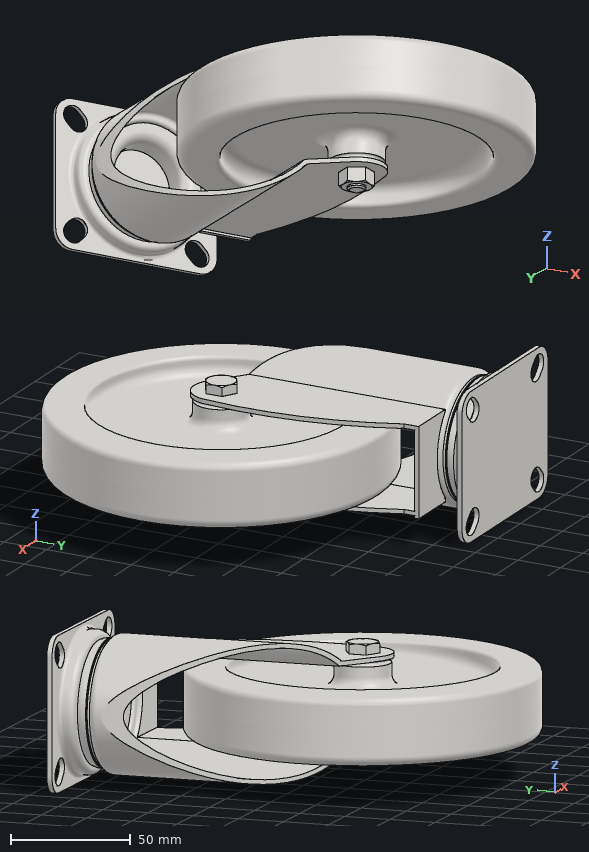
import cadquery as cq
import math


WHEEL_RADIUS = 75.02
WHEEL_WIDTH = 30.0
TREAD_ROUND = 4.0
RIM_INNER_RADIUS = 57.0
RIM_ROUND = 2.2
WEB_THICKNESS = 10.0
WEB_ROUND = 6.0
HUB_RADIUS = 12.0
HUB_GROOVE_SPACING = 31.5
HUB_GROOVE_RADIUS = 11.0

AXLE_RADIUS = 6.01
HEX_FLATS = 13.0
HEX_CHAMFER_ANGLE = math.radians(30)
BOLT_HEAD_HEIGHT = 4.5
NUT_HEIGHT = 6.5
BOLT_TIP_RADIUS = 3.98
BOLT_TIP_LENGTH = 1.5
BOLT_TIP_CHAMFER = 0.7

SWIVEL_X = -45.0
SHEET = 2.0
TUBE_RADIUS = 29.8
LEG_OUTER_Z = 20.0
TUBE_TOP_Y = 91.4
LEG_END_RADIUS = 13.0
LEG_TOP_X = 1.0
LEG_SHOULDER_Y = 86.5
LEG_BACK_ARC_MIDDLE = (13.0, 42.5)
FRONT_ARC_TOP_Y = 88.8
FRONT_ARC_MIDDLE = (-59.2, 45.5)
FRONT_ARC_END = (-23.1, 1.3)
BRIDGE_HEIGHT = 41.0

DOME_ROUND = 3.9
DOME_TOP_RADIUS = 27.4
DOME_TOP_Y = 95.0
GROOVE_RADIUS = 27.0
GROOVE_BOTTOM_Y = 96.2
GROOVE_TOP_Y = 96.8
NECK_TOP_RADIUS = 26.6
NECK_BULGE = 9.2
CUP_RADIUS = 30.5
CUP_BOTTOM_Y = 100.6
CUP_ROUND = 2.8
CUP_FLARE = 1.8
DOME_INNER_ROUND = 1.8
DOME_BORE_RADIUS = 23.77
DOME_BORE_ROUND = 1.7
SEAT_Y = 94.9
HOLE_RADIUS = 15.82
HOLE_ROUND = 5.0

PLATE_TOP_Y = 109.98
PLATE_THICKNESS = 2.4
PLATE_LENGTH_X = 77.1
PLATE_WIDTH_Z = 67.0
PLATE_CORNER_RADIUS = 8.0
SLOT_X = 29.0
SLOT_Z = 24.8
SLOT_WIDTH = 9.0
SLOT_CENTRE_DISTANCE = 3.1

LEG_INNER_Z = LEG_OUTER_Z - SHEET
TUBE_INNER_RADIUS = TUBE_RADIUS - SHEET
PLATE_BOTTOM_Y = PLATE_TOP_Y - PLATE_THICKNESS


def cylinder_z(radius, z_low, z_high):
    return cq.Workplane("XY").workplane(offset=z_low).circle(radius).extrude(z_high - z_low)


def make_wheel():
    """Wheel with a dished web and a hub that has a rounded groove near each end."""
    half_width = WHEEL_WIDTH / 2
    half_web = WEB_THICKNESS / 2
    groove_start_z = HUB_GROOVE_SPACING / 2

    half_section = (
        cq.Workplane("XZ")
        .moveTo(AXLE_RADIUS, 0)
        .lineTo(AXLE_RADIUS, LEG_INNER_Z)
        .lineTo(HUB_RADIUS, LEG_INNER_Z)
        .threePointArc((HUB_GROOVE_RADIUS, (LEG_INNER_Z + groove_start_z) / 2), (HUB_RADIUS, groove_start_z))
        .lineTo(HUB_RADIUS, half_web + WEB_ROUND)
        .radiusArc((HUB_RADIUS + WEB_ROUND, half_web), -WEB_ROUND)
        .lineTo(RIM_INNER_RADIUS - WEB_ROUND, half_web)
        .radiusArc((RIM_INNER_RADIUS, half_web + WEB_ROUND), -WEB_ROUND)
        .lineTo(RIM_INNER_RADIUS, half_width - RIM_ROUND)
        .radiusArc((RIM_INNER_RADIUS + RIM_ROUND, half_width), RIM_ROUND)
        .lineTo(WHEEL_RADIUS - TREAD_ROUND, half_width)
        .radiusArc((WHEEL_RADIUS, half_width - TREAD_ROUND), TREAD_ROUND)
        .lineTo(WHEEL_RADIUS, 0)
    )
    return half_section.mirrorX().revolve(360, (0, 0), (0, 1)).clean()


def make_fork_walls():
    """Half tube running into two flat legs, trimmed to the side profile."""
    outer_join_x = SWIVEL_X + math.sqrt(TUBE_RADIUS**2 - LEG_OUTER_Z**2)
    inner_join_x = SWIVEL_X + math.sqrt(TUBE_INNER_RADIUS**2 - LEG_INNER_Z**2)
    leg_reach_x = LEG_END_RADIUS + 3.7
    height = TUBE_TOP_Y + LEG_END_RADIUS

    section = (
        cq.Workplane("XZ", origin=(0, TUBE_TOP_Y, 0))
        .moveTo(leg_reach_x, LEG_OUTER_Z)
        .lineTo(outer_join_x, LEG_OUTER_Z)
        .threePointArc((SWIVEL_X - TUBE_RADIUS, 0), (outer_join_x, -LEG_OUTER_Z))
        .lineTo(leg_reach_x, -LEG_OUTER_Z)
        .lineTo(leg_reach_x, -LEG_INNER_Z)
        .lineTo(inner_join_x, -LEG_INNER_Z)
        .threePointArc((SWIVEL_X - TUBE_INNER_RADIUS, 0), (inner_join_x, LEG_INNER_Z))
        .lineTo(leg_reach_x, LEG_INNER_Z)
        .close()
        .extrude(height)
    )

    front_x = SWIVEL_X - TUBE_RADIUS
    end_distance = math.hypot(*FRONT_ARC_END)
    touch_angle = math.atan2(FRONT_ARC_END[1], FRONT_ARC_END[0]) + math.acos(LEG_END_RADIUS / end_distance)
    touch_point = (LEG_END_RADIUS * math.cos(touch_angle), LEG_END_RADIUS * math.sin(touch_angle))
    profile = (
        cq.Workplane("XY")
        .moveTo(LEG_TOP_X, TUBE_TOP_Y)
        .lineTo(front_x, TUBE_TOP_Y)
        .lineTo(front_x, FRONT_ARC_TOP_Y)
        .threePointArc(FRONT_ARC_MIDDLE, FRONT_ARC_END)
        .lineTo(*touch_point)
        .radiusArc((LEG_END_RADIUS, 0), -LEG_END_RADIUS)
        .threePointArc(LEG_BACK_ARC_MIDDLE, (LEG_TOP_X, LEG_SHOULDER_Y))
        .close()
        .extrude(TUBE_RADIUS, both=True)
    )
    return section.intersect(profile)


def make_swivel_head():
    """Turned stack of dome, neck and bearing cup around the swivel axis."""
    profile = (
        cq.Workplane("XY", origin=(SWIVEL_X, 0, 0))
        .moveTo(TUBE_INNER_RADIUS, TUBE_TOP_Y)
        .lineTo(TUBE_RADIUS, TUBE_TOP_Y)
        .radiusArc((DOME_TOP_RADIUS, DOME_TOP_Y), -DOME_ROUND)
        .lineTo(DOME_TOP_RADIUS, GROOVE_BOTTOM_Y)
        .lineTo(GROOVE_RADIUS, GROOVE_BOTTOM_Y)
        .lineTo(GROOVE_RADIUS, GROOVE_TOP_Y)
        .lineTo(DOME_TOP_RADIUS, GROOVE_TOP_Y)
        .radiusArc((NECK_TOP_RADIUS, CUP_BOTTOM_Y), -NECK_BULGE)
        .lineTo(CUP_RADIUS - CUP_ROUND, CUP_BOTTOM_Y)
        .radiusArc((CUP_RADIUS, CUP_BOTTOM_Y + CUP_ROUND), -CUP_ROUND)
        .lineTo(CUP_RADIUS, PLATE_BOTTOM_Y - CUP_FLARE)
        .radiusArc((CUP_RADIUS + CUP_FLARE, PLATE_BOTTOM_Y), CUP_FLARE)
        .lineTo(HOLE_RADIUS, PLATE_BOTTOM_Y)
        .lineTo(HOLE_RADIUS, SEAT_Y + HOLE_ROUND)
        .radiusArc((HOLE_RADIUS + HOLE_ROUND, SEAT_Y), -HOLE_ROUND)
        .lineTo(DOME_BORE_RADIUS, SEAT_Y)
        .radiusArc((DOME_BORE_RADIUS + DOME_BORE_ROUND, SEAT_Y - DOME_BORE_ROUND), -DOME_BORE_ROUND)
        .lineTo(TUBE_INNER_RADIUS - DOME_INNER_ROUND, TUBE_TOP_Y + DOME_INNER_ROUND)
        .radiusArc((TUBE_INNER_RADIUS, TUBE_TOP_Y), DOME_INNER_ROUND)
        .close()
    )
    return profile.revolve(360, (0, 0), (0, 1))


def make_bridge():
    """Flat sheet joining the two legs behind the dome."""
    left_x = SWIVEL_X + math.sqrt(TUBE_RADIUS**2 - LEG_OUTER_Z**2)
    length = LEG_TOP_X - left_x
    sheet = cq.Workplane("XY").box(length, SHEET, BRIDGE_HEIGHT, centered=False)
    sheet = sheet.translate((left_x, TUBE_TOP_Y, LEG_OUTER_Z - BRIDGE_HEIGHT))
    dome_space = cq.Workplane("XZ", origin=(SWIVEL_X, TUBE_TOP_Y, 0)).circle(TUBE_INNER_RADIUS).extrude(-SHEET)
    return sheet.cut(dome_space)


def make_mounting_plate():
    """Rounded plate with a diagonal slot in each corner."""
    plate = (
        cq.Workplane("XZ", origin=(SWIVEL_X, PLATE_TOP_Y, 0))
        .rect(PLATE_LENGTH_X, PLATE_WIDTH_Z)
        .extrude(PLATE_THICKNESS)
        .edges("|Y")
        .fillet(PLATE_CORNER_RADIUS)
    )
    for side_x in (-1, 1):
        for side_z in (-1, 1):
            slot = (
                cq.Workplane("XZ", origin=(SWIVEL_X, PLATE_TOP_Y, 0))
                .center(side_x * SLOT_X, side_z * SLOT_Z)
                .slot2D(SLOT_CENTRE_DISTANCE + SLOT_WIDTH, SLOT_WIDTH, 45 * side_x * side_z)
                .extrude(PLATE_THICKNESS)
            )
            plate = plate.cut(slot)
    return plate


def make_hexagon(height):
    """Hexagon standing on Z = 0 with flats facing +X and -X and its top corners chamfered."""
    corner_radius = HEX_FLATS / math.sqrt(3)
    flat_radius = HEX_FLATS / 2
    drop = (corner_radius - flat_radius) * math.tan(HEX_CHAMFER_ANGLE)
    hexagon = cq.Workplane("XY").polygon(6, 2 * corner_radius).extrude(height)
    hexagon = hexagon.rotate((0, 0, 0), (0, 0, 1), 30)
    chamfer_envelope = (
        cq.Workplane("XZ")
        .polyline([(0, 0), (corner_radius, 0), (corner_radius, height - drop), (flat_radius, height), (0, height)])
        .close()
        .revolve(360, (0, 0), (0, 1))
    )
    return hexagon.intersect(chamfer_envelope)


def make_axle():
    """Axle between the legs with a bolt head on top and a nut and bolt tip below."""
    nut_end_z = -LEG_OUTER_Z - NUT_HEIGHT
    axle = cylinder_z(AXLE_RADIUS, -LEG_OUTER_Z, LEG_OUTER_Z)
    axle = axle.union(make_hexagon(BOLT_HEAD_HEIGHT).translate((0, 0, LEG_OUTER_Z)))
    axle = axle.union(make_hexagon(NUT_HEIGHT).mirror("XY").translate((0, 0, -LEG_OUTER_Z)))
    tip = cylinder_z(BOLT_TIP_RADIUS, nut_end_z - BOLT_TIP_LENGTH, nut_end_z)
    return axle.union(tip.faces("<Z").chamfer(BOLT_TIP_CHAMFER))


def make_housing():
    """Fork, swivel head, mounting plate and axle as one solid."""
    housing = make_fork_walls()
    for piece in (make_swivel_head(), make_bridge(), make_mounting_plate(), make_axle()):
        housing = housing.union(piece)
    return housing


wheel = make_wheel()
housing = make_housing()
result = cq.Compound.makeCompound([wheel.val(), housing.val()])